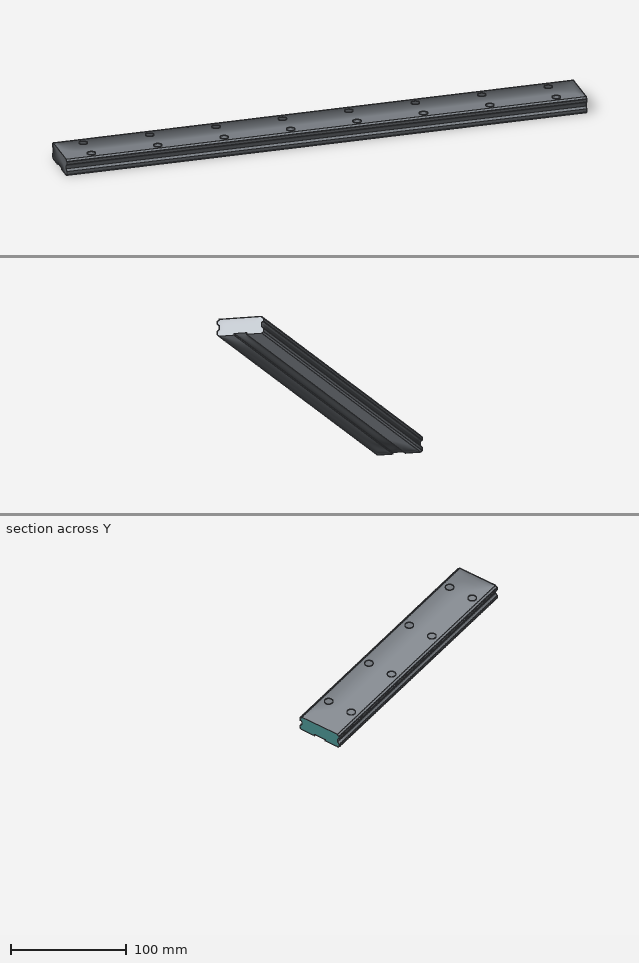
import cadquery as cq
import math

length = 470.0
width = 42.0
height = 15.0

waist_inset = 2.0
lobe_bevel_width = 0.25
lobe_bevel_height = 0.5
raceway_sag = 0.5
upper_raceway_bottom = 13.5
lower_raceway_top = 10.5
lower_raceway_bottom = 8.5
waist_bottom = 6.0
foot_top = 4.0
foot_bevel = 1.5

relief_width = 11.5
relief_depth = 1.5

hole_diameter = 7.5
plug_recess = 0.5
hole_row_spacing = 24.0
hole_end_margin = 25.0
holes_per_row = 8
hole_pitch = (length - 2 * hole_end_margin) / (holes_per_row - 1)


def hollow_point(start, end):
    """Midpoint of a concave raceway arc, pulled in toward the middle of the rail."""
    run = end[0] - start[0]
    rise = end[1] - start[1]
    chord = math.hypot(run, rise)
    mid_x = (start[0] + end[0]) / 2 - raceway_sag * rise / chord
    mid_z = (start[1] + end[1]) / 2 + raceway_sag * run / chord
    return (mid_x, mid_z)


def make_half_rail():
    """Extrude the +X half of the cross-section over the full length."""
    edge = width / 2
    waist = edge - waist_inset
    lobe_corner = edge - lobe_bevel_width
    lower_raceway = [(waist, lower_raceway_bottom), (lobe_corner, lower_raceway_top)]
    upper_raceway = [(lobe_corner, upper_raceway_bottom), (waist, height)]
    profile = (
        cq.Workplane("XZ")
        .moveTo(0, relief_depth)
        .lineTo(relief_width / 2, relief_depth)
        .lineTo(relief_width / 2, 0)
        .lineTo(edge - foot_bevel, 0)
        .lineTo(edge, foot_bevel)
        .lineTo(edge, foot_top)
        .lineTo(waist, waist_bottom)
        .lineTo(*lower_raceway[0])
        .threePointArc(hollow_point(*lower_raceway), lower_raceway[1])
        .lineTo(edge, lower_raceway_top + lobe_bevel_height)
        .lineTo(edge, upper_raceway_bottom - lobe_bevel_height)
        .lineTo(*upper_raceway[0])
        .threePointArc(hollow_point(*upper_raceway), upper_raceway[1])
        .lineTo(0, height)
        .close()
    )
    return profile.extrude(length / 2, both=True).translate((0, 0, -height / 2))


def make_plug_recesses():
    """Cylinders that remove the shallow recesses above the hole plugs."""
    return (
        cq.Workplane("XY")
        .workplane(offset=height / 2 - plug_recess)
        .rarray(hole_row_spacing, hole_pitch, 2, holes_per_row)
        .circle(hole_diameter / 2)
        .extrude(plug_recess)
    )


half_rail = make_half_rail()
rail = half_rail.union(half_rail.mirror("YZ")).clean()
result = rail.cut(make_plug_recesses())